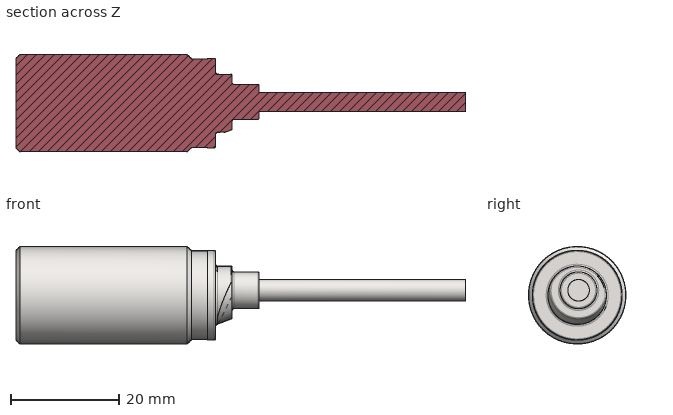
import cadquery as cq

total_length = 83.1
body_end = 32.4
collar_start = 35.4
collar_end = 36.9
flange_end = 40.0
boss_end = 44.95

body_radius = 9.02
body_chamfer = 0.75
neck_radius = 8.2
collar_radius = 8.3
flange_radius = 5.4
boss_radius = 3.4
cable_radius = 2.0

rim_round = 0.25
root_round = 0.3

cable_y = 0.25
cable_z = 0.9

taper_start_radius = 6.4
taper_end_radius = 5.2


def cylinder(start, end, radius, y=0.0, z=0.0):
    """Cylinder parallel to X between two stations."""
    return (
        cq.Workplane("YZ", origin=(start, y, z))
        .circle(radius)
        .extrude(end - start)
    )


def rounded_cylinder(start, end, radius, y=0.0, z=0.0):
    """Cylinder parallel to X whose rear rim is rounded."""
    return cylinder(start, end, radius, y, z).faces(">X").edges().fillet(rim_round)


def root_fillet(station, radius, y=0.0, z=0.0):
    """Concave ring that blends a cylinder into the flat face at its base."""
    outer = radius + root_round
    section = (
        cq.Workplane("XY", origin=(station, y, z))
        .lineTo(0, outer)
        .radiusArc((root_round, radius), -root_round)
        .lineTo(root_round, 0)
        .close()
    )
    return section.revolve(360, (0, 0, 0), (1, 0, 0))


def tapered_flange():
    """Flange on the body axis, trimmed by the cone about the cable axis."""
    cone = (
        cq.Workplane("YZ", origin=(collar_end, cable_y, cable_z))
        .circle(taper_start_radius)
        .workplane(offset=flange_end - collar_end)
        .circle(taper_end_radius)
        .loft()
        .faces(">X")
        .edges()
        .fillet(rim_round)
    )
    return rounded_cylinder(collar_end, flange_end, flange_radius).intersect(cone)


body = cylinder(0, body_end, body_radius).edges().chamfer(body_chamfer)
neck = cylinder(body_end, collar_start, neck_radius)
collar = rounded_cylinder(collar_start, collar_end, collar_radius)

boss = rounded_cylinder(flange_end, boss_end, boss_radius, cable_y, cable_z)
cable = cylinder(boss_end, total_length, cable_radius, cable_y, cable_z)

flange_root = root_fillet(collar_end, flange_radius)
boss_root = root_fillet(flange_end, boss_radius, cable_y, cable_z)

result = body
for section in (neck, collar, tapered_flange(), flange_root, boss, boss_root, cable):
    result = result.union(section)